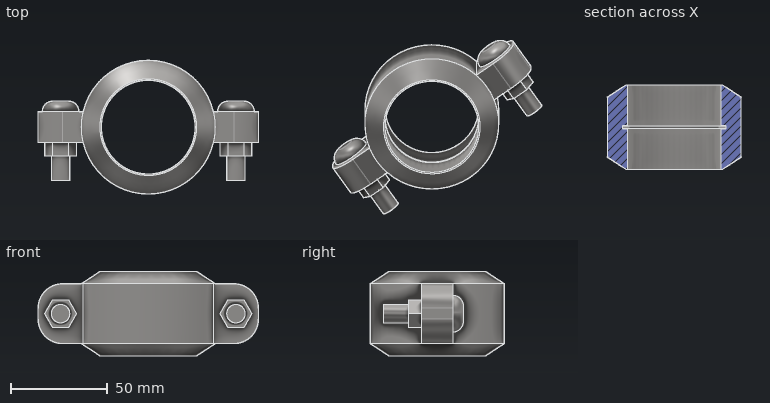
import cadquery as cq

RING_RADIUS = 34.545
RING_HEIGHT = 43.69
BORE_RADIUS = 24.13
CONE_HEIGHT = 6.35
RIM_WIDTH = 0.8
GROOVE_WIDTH = 1.4
GROOVE_DEPTH = 2.5

OVERALL_LENGTH = 113.69
EAR_THICKNESS = 16.0
EAR_HEIGHT = RING_HEIGHT - 2 * CONE_HEIGHT
EAR_CORNER_RADIUS = 12.7

BOLT_SPACING = 90.4
BOLT_DIAMETER = 9.5
BOLT_PROJECTION = 19.6
NUT_ACROSS_CORNERS = 16.5
NUT_THICKNESS = 6.9
HEAD_RADIUS = 9.525
HEAD_HEIGHT = 5.5

EAR_FACE = EAR_THICKNESS / 2


def make_ring_blank():
    """Unbored ring body, coned at both ends and leaving a narrow flat rim around the bore."""
    half_height = RING_HEIGHT / 2
    shoulder = EAR_HEIGHT / 2
    rim_radius = BORE_RADIUS + RIM_WIDTH
    profile = (
        cq.Workplane("XZ")
        .moveTo(0, -half_height)
        .lineTo(rim_radius, -half_height)
        .lineTo(RING_RADIUS, -shoulder)
        .lineTo(RING_RADIUS, shoulder)
        .lineTo(rim_radius, half_height)
        .lineTo(0, half_height)
        .close()
    )
    return profile.revolve(360, (0, 0, 0), (0, 1, 0))


def make_ears():
    """One bar along X, with rounded ends, that forms both ears."""
    bar = cq.Workplane("XY").box(OVERALL_LENGTH, EAR_THICKNESS, EAR_HEIGHT)
    return bar.edges("|Y").fillet(EAR_CORNER_RADIUS)


def make_bore():
    """Through bore with a narrow groove at mid-height."""
    bore = cq.Workplane("XY").circle(BORE_RADIUS).extrude(RING_HEIGHT / 2, both=True)
    groove = (
        cq.Workplane("XY")
        .circle(BORE_RADIUS + GROOVE_DEPTH)
        .extrude(GROOVE_WIDTH / 2, both=True)
    )
    return bore.union(groove)


def make_bolt():
    """Round-headed bolt and hexagon nut on the Y axis, filling the hole in the ear."""
    shank_length = EAR_THICKNESS + BOLT_PROJECTION
    shank = (
        cq.Workplane("XZ", origin=(0, EAR_FACE, 0))
        .circle(BOLT_DIAMETER / 2)
        .extrude(shank_length)
    )
    nut = (
        cq.Workplane("XZ", origin=(0, -EAR_FACE, 0))
        .polygon(6, NUT_ACROSS_CORNERS)
        .extrude(NUT_THICKNESS)
    )
    head = (
        cq.Workplane("XY")
        .moveTo(0, EAR_FACE)
        .lineTo(HEAD_RADIUS, EAR_FACE)
        .radiusArc((HEAD_RADIUS - HEAD_HEIGHT, EAR_FACE + HEAD_HEIGHT), -HEAD_HEIGHT)
        .lineTo(0, EAR_FACE + HEAD_HEIGHT)
        .close()
        .revolve(360, (0, 0, 0), (0, 1, 0))
    )
    return shank.union(nut).union(head)


result = make_ring_blank().union(make_ears()).cut(make_bore())
for side in (-1, 1):
    bolt = make_bolt().translate((side * BOLT_SPACING / 2, 0, 0))
    result = result.union(bolt)